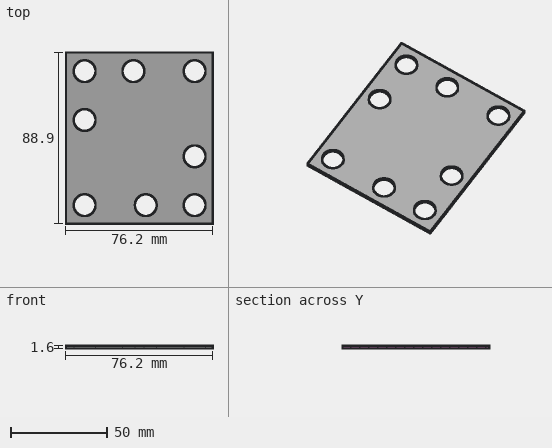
import cadquery as cq

width = 76.2
length = 88.9
thickness = 1.6

hole_diameter = 11.2
left_edge_distance = 9.7
right_edge_distance = 9.4
end_edge_distance = 9.7
hole_spacing = 25.3

left_x = -width / 2 + left_edge_distance
right_x = width / 2 - right_edge_distance
back_y = length / 2 - end_edge_distance
front_y = -back_y

hole_centres = [
    (left_x, back_y),
    (left_x + hole_spacing, back_y),
    (left_x, back_y - hole_spacing),
    (right_x, front_y),
    (right_x - hole_spacing, front_y),
    (right_x, front_y + hole_spacing),
    (left_x, front_y),
    (right_x, back_y),
]

plate = cq.Workplane("XY").box(width, length, thickness)

result = (
    plate.faces(">Z")
    .workplane()
    .pushPoints(hole_centres)
    .hole(hole_diameter)
)